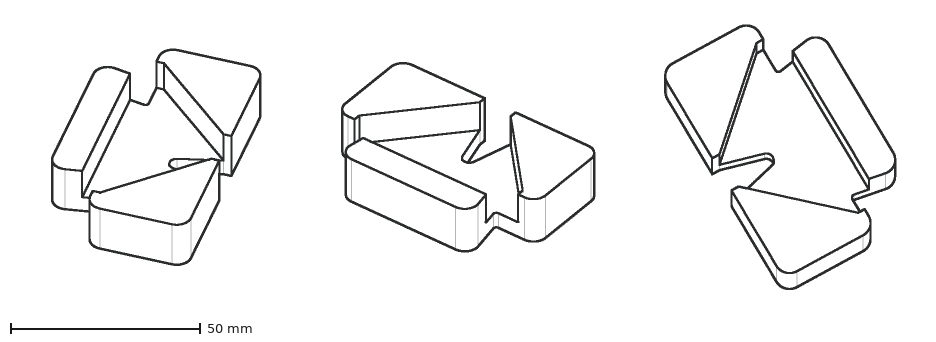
import cadquery as cq
import math

length_x = 42.35
width_y = 66.3
height = 14.2
corner_radius = 4.0

body_left = 14.3
bar_end_half_width = 21.95
bar_root_half_width = 19.5
root_fillet = 0.85

floor_height = 4.9
bar_thickness = 9.2
pocket_half_width = 27.05
pocket_shoulder_x = 16.4
mouth_x = 40.2

mouth_half_width = 5.1
slot_tip_x = 26.85
slot_tip_radius = 2.0
slot_side_angle = 15.0

half_width = width_y / 2


def mirrored_prism(upper_points, depth):
    """Extrude an outline whose lower half mirrors the given +Y points."""
    lower_points = [(x, -y) for x, y in reversed(upper_points)]
    return cq.Workplane("XY").polyline(upper_points + lower_points).close().extrude(depth)


def round_corners(solid, points, radius):
    """Fillet the vertical edges at the given points and at their mirror images."""
    for x, y in points:
        for side in (1, -1):
            edge = cq.selectors.NearestToPointSelector((x, side * y, height / 2))
            solid = solid.edges("|Z").edges(edge).fillet(radius)
    return solid


bar_corner = (0, bar_end_half_width)
bar_root = (body_left, bar_root_half_width)
body_left_corner = (body_left, half_width)
body_right_corner = (length_x, half_width)
body = mirrored_prism([bar_corner, bar_root, body_left_corner, body_right_corner], height)
body = round_corners(body, [bar_corner, body_left_corner, body_right_corner], corner_radius)
body = round_corners(body, [bar_root], root_fillet)

pocket = mirrored_prism(
    [
        (bar_thickness, pocket_half_width),
        (pocket_shoulder_x, pocket_half_width),
        (mouth_x, mouth_half_width),
    ],
    height - floor_height,
).translate((0, 0, floor_height))

side_angle = math.radians(slot_side_angle)
tangent_x = slot_tip_x + slot_tip_radius * (1 - math.sin(side_angle))
tangent_y = slot_tip_radius * math.cos(side_angle)
slot = (
    cq.Workplane("XY")
    .moveTo(length_x, mouth_half_width)
    .lineTo(mouth_x, mouth_half_width)
    .lineTo(tangent_x, tangent_y)
    .threePointArc((slot_tip_x, 0), (tangent_x, -tangent_y))
    .lineTo(mouth_x, -mouth_half_width)
    .lineTo(length_x, -mouth_half_width)
    .close()
    .extrude(height)
)

result = body.cut(pocket).cut(slot)